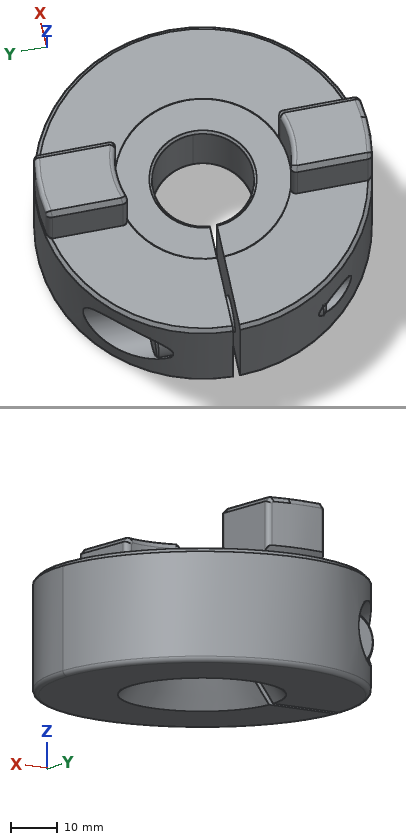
import cadquery as cq

hub_radius = 36.5
hub_height = 25.05
bottom_fillet = 1.2
rim_chamfer = 0.9
bore_radius = 11.0
bore_chamfer = 0.6
flare_height = 9.1
flare_radius = 18.2
recess_radius = 19.05
recess_depth = 0.2
slot_width = 1.5

total_height = 37.0
jaw_width = 15.05
jaw_chamfer = 1.1
jaw_fillet = 1.2
undercut_height = 1.2

screw_x = -27.0
screw_z = hub_height / 2
shank_radius = 4.0
shank_chamfer = 0.7
shank_length = 30.0
head_radius = 6.5
head_length = 8.0
head_chamfer = 0.5
seat_y = 9.0
counterbore_radius = 6.9
tapping_hole_radius = 3.4


def cylinder_along_y(radius, y_start, y_end):
    """Cylinder on the screw axis between two Y positions."""
    start = cq.Vector(screw_x, y_start, screw_z)
    solid = cq.Solid.makeCylinder(radius, y_end - y_start, start, cq.Vector(0, 1, 0))
    return cq.Workplane(solid)


def make_clamp_screw():
    """Cylindrical head above the seat and a shank with a chamfered tip."""
    tip_y = seat_y - shank_length
    shank = cylinder_along_y(shank_radius, tip_y, seat_y).faces("<Y").chamfer(shank_chamfer)
    head = cylinder_along_y(head_radius, seat_y, seat_y + head_length).faces(">Y").chamfer(head_chamfer)
    return shank.union(head)


def make_disc():
    """Hub disc with its rounded lower rim."""
    return cq.Workplane().circle(hub_radius).extrude(hub_height).faces("<Z").edges().fillet(bottom_fillet)


def make_jaw(side):
    """Jaw between the recess and the rim; side is +1 or -1 along Y."""
    jaw_height = total_height - hub_height
    top_of_hub = cq.Workplane().workplane(offset=hub_height)
    sector = top_of_hub.circle(hub_radius).circle(recess_radius).extrude(jaw_height)
    strip = top_of_hub.center(0, side * hub_radius / 2).rect(jaw_width, hub_radius).extrude(jaw_height)
    jaw = sector.intersect(strip)
    jaw = jaw.faces(">Z").edges("|Y").chamfer(jaw_chamfer)
    return jaw.faces("%CYLINDER").edges("not <Z").fillet(jaw_fillet)


def make_rim_groove():
    """V-groove that bevels the hub's top rim and undercuts the foot of each jaw."""
    return (
        cq.Workplane("XZ")
        .moveTo(hub_radius - rim_chamfer, hub_height)
        .lineTo(hub_radius, hub_height + undercut_height)
        .lineTo(hub_radius + rim_chamfer, hub_height)
        .lineTo(hub_radius, hub_height - rim_chamfer)
        .close()
        .revolve(360, (0, 0, 0), (0, 1, 0))
    )


def make_bore():
    """Central bore, chamfered at the top and flared into a cone at the bottom."""
    mouth_radius = bore_radius + bore_chamfer
    top = hub_height - recess_depth
    return (
        cq.Workplane("XZ")
        .moveTo(0, 0)
        .lineTo(flare_radius, 0)
        .lineTo(bore_radius, flare_height)
        .lineTo(bore_radius, top - bore_chamfer)
        .lineTo(mouth_radius, top)
        .lineTo(0, top)
        .close()
        .revolve(360, (0, 0, 0), (0, 1, 0))
    )


def make_hub(screw):
    """Clamping hub with jaws, bore, slot and the holes that hold the screw."""
    hub = make_disc()
    for side in (1, -1):
        hub = hub.union(make_jaw(side))
    hub = hub.cut(make_rim_groove())

    recess = cq.Workplane().workplane(offset=hub_height - recess_depth).circle(recess_radius)
    hub = hub.cut(recess.extrude(recess_depth)).cut(make_bore())

    slot = cq.Workplane().center(-hub_radius / 2, 0).rect(hub_radius, slot_width).extrude(hub_height)
    hub = hub.cut(slot)

    hub = hub.cut(cylinder_along_y(counterbore_radius, seat_y, hub_radius))
    hub = hub.cut(cylinder_along_y(tapping_hole_radius, -hub_radius, 0))
    return hub.cut(screw)


clamp_screw = make_clamp_screw()
clamping_hub = make_hub(clamp_screw)

result = cq.Compound.makeCompound([clamping_hub.solids().val(), clamp_screw.solids().val()])